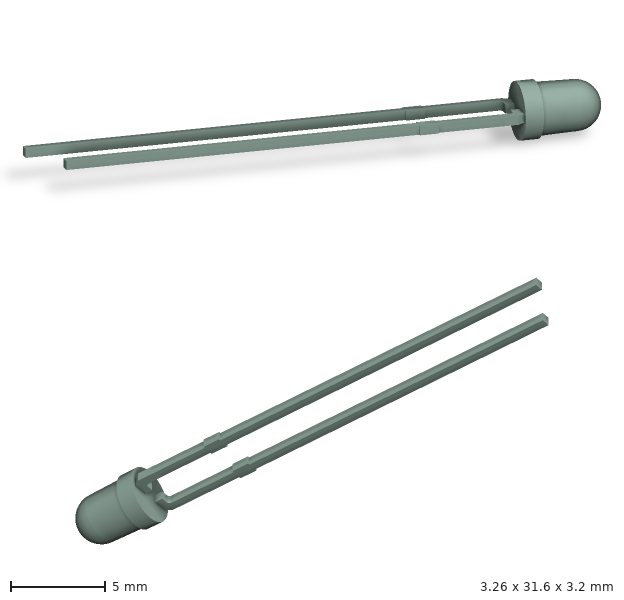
import cadquery as cq
import math


overall_length = 31.6

lens_length = 4.6
flange_diameter = 3.2
flange_thickness = 1.0
dome_radius = 1.4
lens_base_radius = 1.45

lead_width = 0.5
lead_pitch = 2.53
lead_length_difference = 1.5
foot_width = 1.07
inner_bend_radius = 0.2
outer_bevel_width = 0.25
outer_bevel_length = 0.38

shoulder_width = 0.73
shoulder_length = 1.05
shoulder_distance = 4.85

long_lead_length = overall_length - lens_length
short_lead_length = long_lead_length - lead_length_difference


def make_lens():
    """Flange, tapered wall and hemispherical dome, revolved about the Y axis."""
    flange_radius = flange_diameter / 2
    dome_base = lens_length - dome_radius
    dome_middle = dome_radius * math.cos(math.radians(45))
    return (
        cq.Workplane("YZ")
        .lineTo(0, flange_radius)
        .lineTo(flange_thickness, flange_radius)
        .lineTo(flange_thickness, lens_base_radius)
        .lineTo(dome_base, dome_radius)
        .threePointArc((dome_base + dome_middle, dome_middle), (lens_length, 0))
        .close()
        .revolve(360, (0, 0), (1, 0))
    )


def make_lead(length):
    """Lead on the +X side, with a foot bent inward under the flange and a shoulder.

    The outside of the bend is bevelled and its inside is rounded.
    """
    lead_x = lead_pitch / 2
    outer_x = lead_x + lead_width / 2
    inner_x = lead_x - lead_width / 2
    foot_x = outer_x - foot_width
    lead = (
        cq.Workplane("XY")
        .workplane(offset=-lead_width / 2)
        .moveTo(foot_x, 0)
        .lineTo(outer_x - outer_bevel_width, 0)
        .lineTo(outer_x, -outer_bevel_length)
        .lineTo(outer_x, -length)
        .lineTo(inner_x, -length)
        .lineTo(inner_x, -lead_width)
        .lineTo(foot_x, -lead_width)
        .close()
        .extrude(lead_width)
    )
    inner_corner = cq.selectors.NearestToPointSelector((inner_x, -lead_width, 0))
    lead = lead.edges("|Z").edges(inner_corner).fillet(inner_bend_radius)
    shoulder_y = -shoulder_distance - shoulder_length / 2
    shoulder = cq.Workplane("XY").box(shoulder_width, shoulder_length, lead_width)
    return lead.union(shoulder.translate((lead_x, shoulder_y, 0)))


long_lead = make_lead(long_lead_length).mirror("YZ")
short_lead = make_lead(short_lead_length)

result = make_lens().union(long_lead).union(short_lead)